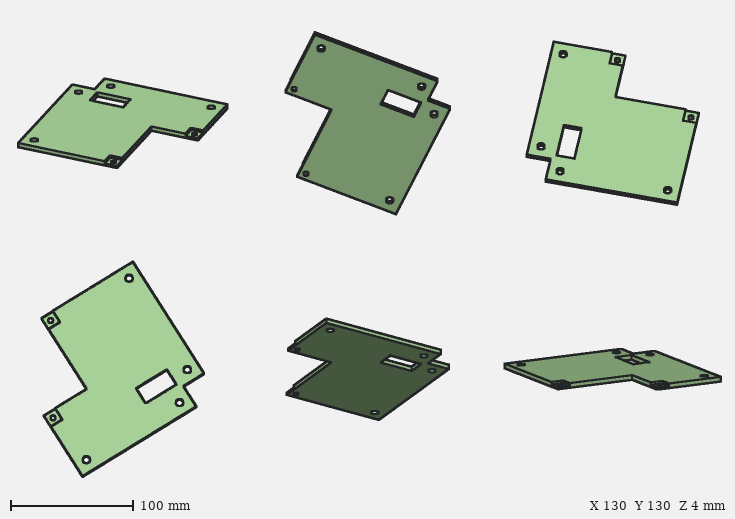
import cadquery as cq

side = 130.0
thickness = 4.0
small_notch = 20.0
lower_width = 88.5
upper_height = 60.0

mount_diameter = 6.0
mount_inset = 10.0

window_width = 29.6
window_height = 14.8
window_left = 24.2
window_drop = 24.2

tab_size = 11.0
tab_thickness = 2.0
tab_hole_diameter = 4.0


def box_from(x, y, z, width, depth, height):
    """Box whose lowest corner is at (x, y, z)."""
    return cq.Workplane("XY").box(width, depth, height, centered=False).translate((x, y, z))


def hole_cutters(points, diameter):
    """Cylinders through the whole plate."""
    return cq.Workplane("XY").pushPoints(points).circle(diameter / 2).extrude(thickness)


upper_bottom = side - upper_height
outline = [
    (0, 0),
    (lower_width, 0),
    (lower_width, upper_bottom),
    (side, upper_bottom),
    (side, side),
    (small_notch, side),
    (small_notch, side - small_notch),
    (0, side - small_notch),
]
plate = cq.Workplane("XY").polyline(outline).close().extrude(thickness)

notch_hole = small_notch + mount_inset
mount_points = [
    (mount_inset, mount_inset),
    (mount_inset, side - notch_hole),
    (notch_hole, side - mount_inset),
    (side - mount_inset, side - mount_inset),
]
plate = plate.cut(hole_cutters(mount_points, mount_diameter))

window_bottom = side - window_drop - window_height
plate = plate.cut(box_from(window_left, window_bottom, 0, window_width, window_height, thickness))

tab_corners = [(lower_width, 0), (side, upper_bottom)]
for corner_x, corner_y in tab_corners:
    tab_left = corner_x - tab_size
    step = box_from(tab_left, corner_y, tab_thickness, tab_size, tab_size, thickness - tab_thickness)
    tab_center = (corner_x - tab_size / 2, corner_y + tab_size / 2)
    plate = plate.cut(step).cut(hole_cutters([tab_center], tab_hole_diameter))

result = plate